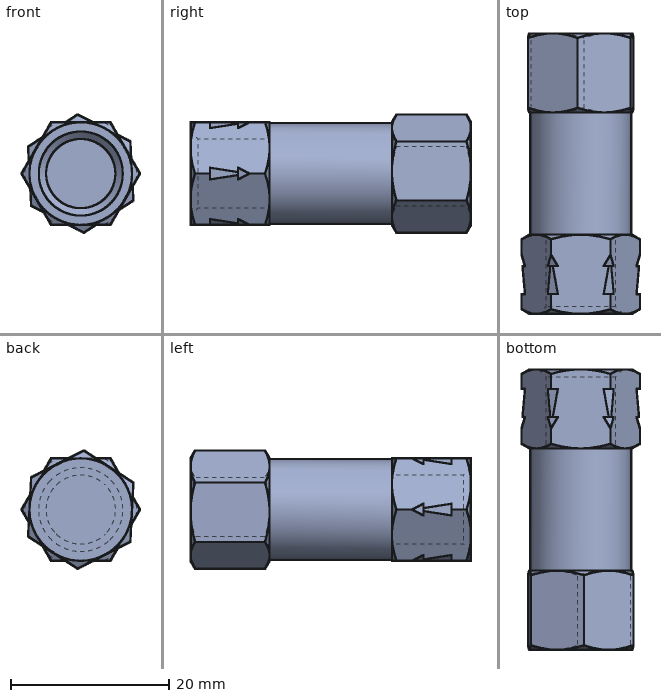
import cadquery as cq
import math

total_length = 35.5
barrel_diameter = 12.8

hex_across_flats = 13.0
hex_length = 10.0
rear_hex_turn = 3.0
corner_bevel_angle = 30.0
corner_count = 6
corner_step = 360.0 / corner_count
hex_across_corners = hex_across_flats / math.cos(math.radians(corner_step / 2))
corner_radius = hex_across_corners / 2
flat_radius = hex_across_flats / 2
bevel_length = (corner_radius - flat_radius) * math.tan(math.radians(corner_bevel_angle))

bore_diameter = 8.77
mouth_diameter = 10.65
mouth_depth = (mouth_diameter - bore_diameter) / 2
bore_depth = hex_length

arrow_tail_y = 2.5
arrow_head_y = 6.05
arrow_tip_y = 7.45
arrow_depth = 0.43
arrow_neck_depth = 0.1
cutter_overhang = 0.35
cutter_width = flat_radius


def beveled_hex(start_y, turn):
    """Hexagon along Y with a corner on the X axis before turning, beveled at both ends."""
    end_y = start_y + hex_length
    prism = (
        cq.Workplane("XZ", origin=(0, start_y, 0))
        .polygon(corner_count, hex_across_corners)
        .extrude(-hex_length)
    )
    envelope = (
        cq.Workplane("XY")
        .moveTo(0, start_y)
        .lineTo(flat_radius, start_y)
        .lineTo(corner_radius, start_y + bevel_length)
        .lineTo(corner_radius, end_y - bevel_length)
        .lineTo(flat_radius, end_y)
        .lineTo(0, end_y)
        .close()
        .revolve(360, (0, 0, 0), (0, 1, 0))
    )
    return prism.intersect(envelope).rotate((0, 0, 0), (0, 1, 0), turn)


def arrow_cutter():
    """Two ramps that appear as an arrow, head and tail, where they cross a hexagon corner."""
    outside = corner_radius + cutter_overhang
    return (
        cq.Workplane("XY")
        .moveTo(outside, arrow_tail_y)
        .lineTo(corner_radius - arrow_depth, arrow_tail_y)
        .lineTo(corner_radius - arrow_neck_depth, arrow_head_y)
        .lineTo(corner_radius - arrow_depth, arrow_head_y)
        .lineTo(corner_radius, arrow_tip_y)
        .lineTo(outside, arrow_tip_y)
        .close()
        .extrude(cutter_width / 2, both=True)
    )


def bore():
    """Blind hole entering from the front face, widened to a cone at its mouth."""
    return (
        cq.Workplane("XY")
        .lineTo(mouth_diameter / 2, 0)
        .lineTo(bore_diameter / 2, mouth_depth)
        .lineTo(bore_diameter / 2, bore_depth)
        .lineTo(0, bore_depth)
        .close()
        .revolve(360, (0, 0, 0), (0, 1, 0))
    )


front_hex = beveled_hex(0, 0)
for corner in range(corner_count):
    front_hex = front_hex.cut(arrow_cutter().rotate((0, 0, 0), (0, 1, 0), corner * corner_step))

rear_hex = beveled_hex(total_length - hex_length, corner_step / 2 - rear_hex_turn)
barrel = (
    cq.Workplane("XZ", origin=(0, hex_length, 0))
    .circle(barrel_diameter / 2)
    .extrude(2 * hex_length - total_length)
)

result = front_hex.union(barrel).union(rear_hex).cut(bore())